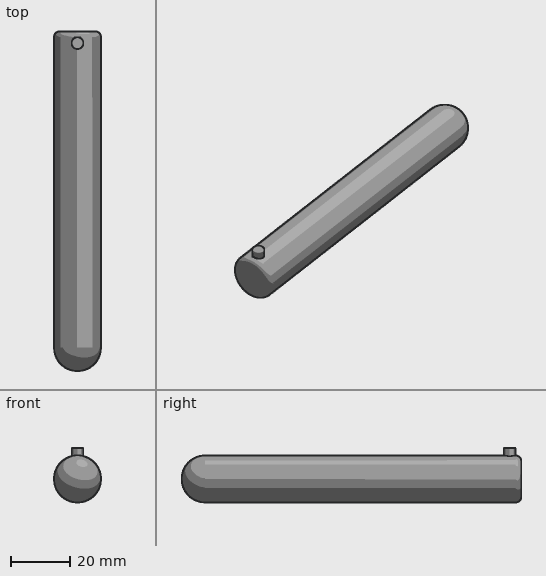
import cadquery as cq
import math

body_diameter = 16.0
body_length = 115.0
rear_edge_radius = 2.0

pin_diameter = 4.0
pin_height = 2.5
pin_setback = 4.0
pin_edge_radius = 0.25

body_radius = body_diameter / 2
rear_y = body_length - body_radius


def make_body():
    """Half profile of the bar, with Z as the radius, revolved about the Y axis."""
    arc_midpoint = body_radius * math.sqrt(0.5)
    profile = (
        cq.Workplane("YZ")
        .moveTo(-body_radius, 0)
        .threePointArc((-arc_midpoint, arc_midpoint), (0, body_radius))
        .lineTo(rear_y, body_radius)
        .lineTo(rear_y, 0)
        .close()
    )
    bar = profile.revolve(360, (0, 0, 0), (1, 0, 0))
    return bar.faces(">Y").edges().fillet(rear_edge_radius)


def make_pin():
    """Pin rooted on the bar axis so that it merges fully with the bar."""
    pin = (
        cq.Workplane("XY")
        .center(0, rear_y - pin_setback)
        .circle(pin_diameter / 2)
        .extrude(body_radius + pin_height)
    )
    return pin.faces(">Z").edges().fillet(pin_edge_radius)


result = make_body().union(make_pin())